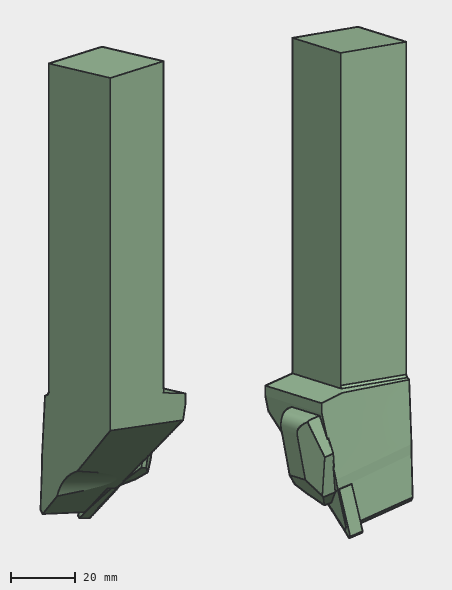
import cadquery as cq
import math

TOTAL_HEIGHT = 152.4
SHANK_SIDE = 25.1
SHANK_BOTTOM = 47.1

HEAD_DEPTH = 35.5
HEAD_SIDE_SHIFT = 2.6
HEAD_BOTTOM_DROP = 4.1
BEND_DROP = 7.8
SHANK_FOOT = (-25.6, 46.2)
HEAD_SHOULDER = (-26.7, 45.7)
BEND_TOP = (-27.9, 25.6)
BEND_BOTTOM = (-27.9, 22.4)
NOSE_SIDE = (-28.5, 8.8)
NOSE_BOTTOM = (-27.6, 7.6)
HEAD_RIGHT_BOTTOM = 39.5
LOWER_SLOPE = (HEAD_RIGHT_BOTTOM - NOSE_BOTTOM[1]) / -NOSE_BOTTOM[0]
BACK_EDGE_HEIGHT = 43.7

SEAT_TILT = math.radians(12)
SEAT_Y = 26.2
SEAT_TOP = 40.5
SEAT_SIN = math.sin(SEAT_TILT)
SEAT_COS = math.cos(SEAT_TILT)

INSERT_THICKNESS = 4.9
INSERT_OUTLINE = [(31.9, 0.8), (31.1, 0), (21.6, 11.1), (30.5, 16.3)]

CLAMP_HEIGHT = 8.1
CLAMP_RIGHT = 13.4
CLAMP_LEFT = 30.8
CLAMP_TOP = 40.5
CLAMP_OUTLINE = [
    (CLAMP_RIGHT, CLAMP_TOP),
    (28.0, CLAMP_TOP),
    (CLAMP_LEFT, 28.2),
    (28.3, 15.0),
    (25.1, 10.8),
    (19.0, 14.3),
    (CLAMP_RIGHT, 19.0),
]
CLAMP_ROUNDING = 4.3
CLAMP_BEVEL_START = 21.2
CLAMP_BEVEL_END = 10.8
CLAMP_FOOT = 2.9
CLAMP_LEFT_WALL = 3.4
CLAMP_CREST_LEFT = 25.0
CLAMP_RIGHT_WALL = 2.3
CLAMP_CREST_RIGHT = 16.8

SCALLOP_RADIUS = 13.7
SCALLOP_DEPTH = 1.4
SCALLOP_X = -17.7
SCALLOP_DROP = 7.5


def seat_plane():
    """Outward normal towards +Y and down; local X runs left, local Y runs up the seat."""
    return cq.Plane(origin=(0, SEAT_Y, 0), xDir=(-1, 0, 0), normal=(0, SEAT_COS, -SEAT_SIN))


def seat_y(z):
    return SEAT_Y + z * math.tan(SEAT_TILT)


def head_section(y):
    """Head outline at depth y; each corner moves in proportion to the depth."""
    fraction = y / HEAD_DEPTH
    side = HEAD_SIDE_SHIFT * fraction
    bend = BEND_DROP * fraction
    bottom = HEAD_BOTTOM_DROP * fraction
    nose = bottom + side * LOWER_SLOPE
    corners = [
        (0, SHANK_BOTTOM),
        (-SHANK_SIDE, SHANK_BOTTOM),
        SHANK_FOOT,
        (HEAD_SHOULDER[0] - side, HEAD_SHOULDER[1]),
        (BEND_TOP[0] - side, BEND_TOP[1] - bend),
        (BEND_BOTTOM[0] - side, BEND_BOTTOM[1] - bend),
        (NOSE_SIDE[0] - side, NOSE_SIDE[1] - nose),
        (NOSE_BOTTOM[0] - side, NOSE_BOTTOM[1] - nose),
        (0, HEAD_RIGHT_BOTTOM - bottom),
    ]
    return cq.Wire.makePolygon([cq.Vector(x, y, z) for x, z in corners], close=True)


def make_head():
    block = cq.Solid.makeLoft([head_section(0), head_section(HEAD_DEPTH)], True)
    side_outline = (
        cq.Workplane("YZ")
        .polyline([
            (0, 0),
            (0, SHANK_BOTTOM),
            (SHANK_SIDE, SHANK_BOTTOM),
            (SHANK_SIDE, SHANK_FOOT[1]),
            (HEAD_DEPTH, BACK_EDGE_HEIGHT),
            (HEAD_DEPTH, SEAT_TOP),
            (seat_y(0), 0),
        ])
        .close()
        .extrude(TOTAL_HEIGHT, both=True)
    )
    return cq.Workplane(block).intersect(side_outline)


def make_scallop():
    angle = math.atan(LOWER_SLOPE)
    offset = SCALLOP_RADIUS - SCALLOP_DEPTH
    x = SCALLOP_X + offset * math.sin(angle)
    z = HEAD_RIGHT_BOTTOM + SCALLOP_X * LOWER_SLOPE - offset * math.cos(angle)
    axis = cq.Vector(0, HEAD_DEPTH, -SCALLOP_DROP)
    start = cq.Vector(x, 0, z) - axis
    return cq.Workplane(cq.Solid.makeCylinder(SCALLOP_RADIUS, 2 * axis.Length, start, axis))


def make_clamp_nose():
    """Common volume of the plan outline, the side outline and the bevelled cross-section."""
    plan = cq.Workplane(seat_plane()).polyline(CLAMP_OUTLINE).close().extrude(CLAMP_HEIGHT)

    side_plane = cq.Plane(origin=(0, SEAT_Y, 0), xDir=(0, SEAT_COS, -SEAT_SIN), normal=(1, 0, 0))
    side = (
        cq.Workplane(side_plane)
        .moveTo(0, CLAMP_BEVEL_END)
        .lineTo(CLAMP_FOOT, CLAMP_BEVEL_END)
        .lineTo(CLAMP_HEIGHT, CLAMP_BEVEL_START)
        .lineTo(CLAMP_HEIGHT, CLAMP_TOP - CLAMP_ROUNDING)
        .radiusArc((CLAMP_HEIGHT - CLAMP_ROUNDING, CLAMP_TOP), -CLAMP_ROUNDING)
        .lineTo(0, CLAMP_TOP)
        .close()
        .extrude(TOTAL_HEIGHT, both=True)
    )

    section_plane = cq.Plane(origin=(0, SEAT_Y, 0), xDir=(-1, 0, 0), normal=(0, -SEAT_SIN, -SEAT_COS))
    section = (
        cq.Workplane(section_plane)
        .polyline([
            (CLAMP_RIGHT, 0),
            (CLAMP_RIGHT, CLAMP_RIGHT_WALL),
            (CLAMP_CREST_RIGHT, CLAMP_HEIGHT),
            (CLAMP_CREST_LEFT, CLAMP_HEIGHT),
            (CLAMP_LEFT, CLAMP_LEFT_WALL),
            (CLAMP_LEFT, 0),
        ])
        .close()
        .extrude(TOTAL_HEIGHT, both=True)
    )
    return plan.intersect(side).intersect(section)


def make_insert():
    return cq.Workplane(seat_plane()).polyline(INSERT_OUTLINE).close().extrude(-INSERT_THICKNESS)


def make_holder(insert):
    shank = cq.Workplane("XY").box(
        SHANK_SIDE, SHANK_SIDE, TOTAL_HEIGHT - SHANK_BOTTOM, centered=False
    ).translate((-SHANK_SIDE, 0, SHANK_BOTTOM))
    head = make_head().cut(make_scallop())
    return shank.union(head).union(make_clamp_nose()).cut(insert)


insert = make_insert()
holder = make_holder(insert)
result = cq.Compound.makeCompound([holder.val(), insert.val()])